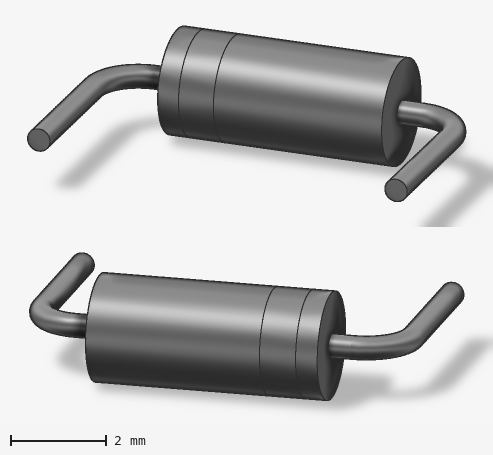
import cadquery as cq

overall_length = 8.5
body_length = 5.015
body_diameter = 2.3
band_offset = 0.47
band_width = 0.78
band_thickness = 0.05
wire_diameter = 0.5
bend_radius = 1.0
lead_drop = 4.2

body_radius = body_diameter / 2
wire_radius = wire_diameter / 2
lead_x = overall_length / 2 - wire_radius
bend_start_x = lead_x - bend_radius
body_start_x = -body_length / 2
band_start_x = body_start_x + band_offset


def cylinder_along_x(start_x, length, radius):
    return cq.Workplane("YZ", origin=(start_x, 0, 0)).circle(radius).extrude(length)


def make_band():
    """Polarity ring, flush with the outside of the housing."""
    outer = cylinder_along_x(band_start_x, band_width, body_radius)
    bore = cylinder_along_x(band_start_x, band_width, body_radius - band_thickness)
    return outer.cut(bore)


def make_wire():
    """One continuous round wire through the housing, with both ends bent toward -Y."""
    centreline = (
        cq.Workplane("XY")
        .moveTo(-lead_x, -lead_drop)
        .lineTo(-lead_x, -bend_radius)
        .tangentArcPoint((-bend_start_x, 0), relative=False)
        .lineTo(bend_start_x, 0)
        .tangentArcPoint((lead_x, -bend_radius), relative=False)
        .lineTo(lead_x, -lead_drop)
    )
    lead_tip = cq.Workplane("XZ", origin=(-lead_x, -lead_drop, 0))
    return lead_tip.circle(wire_radius).sweep(centreline)


def make_housing():
    """Cylinder with a bore for the wire and a shallow groove for the band."""
    blank = cylinder_along_x(body_start_x, body_length, body_radius)
    bore = cylinder_along_x(body_start_x, body_length, wire_radius)
    return blank.cut(bore).cut(make_band())


housing = make_housing()
band = make_band()
wire = make_wire()

result = cq.Compound.makeCompound([housing.val(), band.val(), wire.val()])